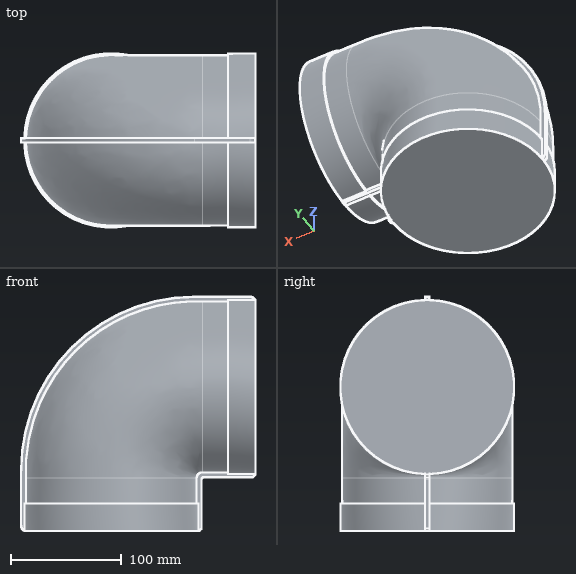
import cadquery as cq
import math

END_TO_AXIS = 130.0

BODY_RADIUS = 77.0
BODY_BEND_RADIUS = 152.0
CROOK_RADIUS = 5.0
BEND_STEPS = 4

COLLAR_RADIUS = 78.5
COLLAR_LENGTH = 25.0

RIB_RADIUS = 81.45
RIB_THICKNESS = 4.0
RIB_CROOK_RADIUS = 2.0
RIB_OUTER_ROUND = 5.0
RIB_INNER_CHAMFER = 2.5
RIB_BEND_RADIUS = BODY_BEND_RADIUS + RIB_RADIUS - BODY_RADIUS

STRAIGHT_LENGTH = END_TO_AXIS - BODY_RADIUS - CROOK_RADIUS

PIVOT_X = BODY_RADIUS + CROOK_RADIUS
PIVOT_Z = STRAIGHT_LENGTH

BEND_CENTRE_X = BODY_BEND_RADIUS - BODY_RADIUS
BEND_CENTRE_Z = END_TO_AXIS - BEND_CENTRE_X


def bend_section(step):
    """Section across the bend from the crook to the outside: oval, but round where it meets a leg."""
    angle = math.pi / 2 * step / BEND_STEPS
    out_x = -math.cos(angle)
    out_z = math.sin(angle)
    centre_dx = BEND_CENTRE_X - PIVOT_X
    centre_dz = BEND_CENTRE_Z - PIVOT_Z
    along = centre_dx * out_x + centre_dz * out_z
    across = centre_dx * out_z - centre_dz * out_x
    outer_reach = along + math.sqrt(BODY_BEND_RADIUS**2 - across**2)
    meets_leg = step in (0, BEND_STEPS)
    if meets_leg:
        outer_reach = CROOK_RADIUS + 2 * BODY_RADIUS
    half_width = (outer_reach - CROOK_RADIUS) / 2
    middle_reach = (outer_reach + CROOK_RADIUS) / 2
    return cq.Wire.makeEllipse(
        half_width,
        BODY_RADIUS,
        cq.Vector(PIVOT_X + middle_reach * out_x, 0, PIVOT_Z + middle_reach * out_z),
        cq.Vector(out_z, 0, -out_x),
        cq.Vector(out_x, 0, out_z),
    )


def make_bend():
    """Smooth bend lofted from the top of the lower leg to the start of the upper leg."""
    sections = [bend_section(step) for step in range(BEND_STEPS + 1)]
    return cq.Workplane(cq.Solid.makeLoft(sections))


def make_lower_cylinder(radius, length):
    """Cylinder up the Z axis from the lower end."""
    return cq.Workplane("XY").circle(radius).extrude(length)


def make_upper_cylinder(radius, length):
    """Cylinder along X that finishes at the upper end."""
    return cq.Workplane("YZ", origin=(END_TO_AXIS - length, 0, END_TO_AXIS)).circle(radius).extrude(length)


def make_rib():
    """Elbow-shaped plate in the XZ plane with rounded outer and chamfered inner end corners."""
    top = END_TO_AXIS + RIB_RADIUS
    crook_z = END_TO_AXIS - RIB_RADIUS
    return (
        cq.Workplane("XZ")
        .moveTo(RIB_OUTER_ROUND - RIB_RADIUS, 0)
        .radiusArc((-RIB_RADIUS, RIB_OUTER_ROUND), RIB_OUTER_ROUND)
        .lineTo(-RIB_RADIUS, BEND_CENTRE_Z)
        .radiusArc((BEND_CENTRE_X, top), RIB_BEND_RADIUS)
        .lineTo(END_TO_AXIS - RIB_OUTER_ROUND, top)
        .radiusArc((END_TO_AXIS, top - RIB_OUTER_ROUND), RIB_OUTER_ROUND)
        .lineTo(END_TO_AXIS, crook_z + RIB_INNER_CHAMFER)
        .lineTo(END_TO_AXIS - RIB_INNER_CHAMFER, crook_z)
        .lineTo(RIB_RADIUS + RIB_CROOK_RADIUS, crook_z)
        .radiusArc((RIB_RADIUS, crook_z - RIB_CROOK_RADIUS), -RIB_CROOK_RADIUS)
        .lineTo(RIB_RADIUS, RIB_INNER_CHAMFER)
        .lineTo(RIB_RADIUS - RIB_INNER_CHAMFER, 0)
        .close()
        .extrude(RIB_THICKNESS / 2, both=True)
    )


result = (
    make_bend()
    .union(make_lower_cylinder(BODY_RADIUS, STRAIGHT_LENGTH))
    .union(make_upper_cylinder(BODY_RADIUS, STRAIGHT_LENGTH))
    .union(make_lower_cylinder(COLLAR_RADIUS, COLLAR_LENGTH))
    .union(make_upper_cylinder(COLLAR_RADIUS, COLLAR_LENGTH))
    .union(make_rib())
)